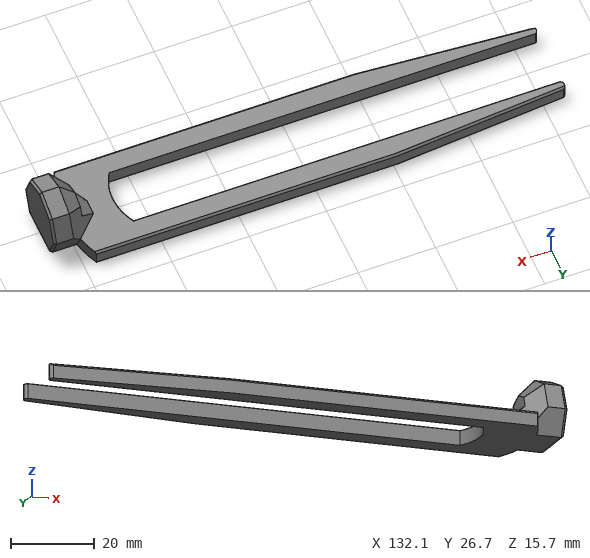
import cadquery as cq
import math

length = 132.1
width = 26.7
height = 15.7
plate_thickness = 3.7
edge_chamfer = 0.5

slot_half_width = 7.8
slot_corner_x = 111.0
slot_end_x = 113.1
taper_end_x = 45.2
tip_outer_y = 9.9
tip_bulge = 0.7
back_corner_x = 122.9
back_middle_x = 125.9

sides = 8
head_radius = 9.2
head_axis_z = height - head_radius
head_taper_x = 127.1
head_face_x = 123.0
head_face_radius = 5.0
rim_length = 0.7
rim_depth = 0.5

neck_top_z = 7.7
neck_start_x = head_face_x - neck_top_z

half_width = width / 2
tip_middle_y = (slot_half_width + tip_outer_y) / 2


def make_fork():
    """Two-pronged plate with its outer top edges bevelled."""
    outline = (
        cq.Workplane("XY")
        .moveTo(tip_bulge, tip_outer_y)
        .lineTo(taper_end_x, half_width)
        .lineTo(back_corner_x, half_width)
        .threePointArc((back_middle_x, 0), (back_corner_x, -half_width))
        .lineTo(taper_end_x, -half_width)
        .lineTo(tip_bulge, -tip_outer_y)
        .threePointArc((0, -tip_middle_y), (tip_bulge, -slot_half_width))
        .lineTo(slot_corner_x, -slot_half_width)
        .threePointArc((slot_end_x, 0), (slot_corner_x, slot_half_width))
        .lineTo(tip_bulge, slot_half_width)
        .threePointArc((0, tip_middle_y), (tip_bulge, tip_outer_y))
        .close()
    )
    plate = outline.extrude(plate_thickness)
    middle_x = (taper_end_x + back_corner_x) / 2
    taper_middle = ((tip_bulge + taper_end_x) / 2, (tip_outer_y + half_width) / 2)
    outer_edges = cq.Workplane("XY")
    for side in (-1, 1):
        for x, y in (taper_middle, (middle_x, half_width)):
            selector = cq.selectors.NearestToPointSelector((x, side * y, plate_thickness))
            outer_edges = outer_edges.add(plate.edges(selector))
    return plate.newObject(outer_edges.vals()).chamfer(edge_chamfer)


def octagon_corners(radius):
    """Corners of an octagon with one corner pointing straight up."""
    angles = [math.pi / 2 + 2 * math.pi * i / sides for i in range(sides)]
    return [(radius * math.cos(angle), radius * math.sin(angle)) for angle in angles]


def make_head():
    """Octagonal knob: upper facets taper forward, lower part runs into the neck."""
    rim_x = length - rim_length
    head = (
        cq.Workplane("YZ", origin=(neck_start_x, 0, head_axis_z))
        .polyline(octagon_corners(head_radius))
        .close()
        .extrude(rim_x - neck_start_x)
    )
    rim = (
        cq.Workplane("YZ", origin=(rim_x, 0, head_axis_z))
        .polyline(octagon_corners(head_radius))
        .close()
        .workplane(offset=rim_length)
        .polyline(octagon_corners(head_radius - rim_depth))
        .close()
        .loft(ruled=True)
    )
    head = head.union(rim)

    apothem_ratio = math.cos(math.pi / sides)
    slope = (head_radius - head_face_radius) / (head_taper_x - head_face_x)
    reach = 2 * head_radius
    start_offset = head_radius * apothem_ratio
    end_offset = start_offset - reach * slope * apothem_ratio
    facet_cutter = (
        cq.Workplane("XZ")
        .polyline([
            (head_taper_x, start_offset),
            (head_taper_x - reach, end_offset),
            (head_taper_x - reach, reach),
            (head_taper_x, reach),
        ])
        .close()
        .extrude(reach, both=True)
    )
    facet_angle = 360 / sides
    for step in (-1.5, -0.5, 0.5, 1.5):
        cutter = facet_cutter.rotate((0, 0, 0), (1, 0, 0), step * facet_angle)
        head = head.cut(cutter.translate((0, 0, head_axis_z)))

    profile = (
        cq.Workplane("XZ")
        .polyline([
            (neck_start_x, 0),
            (head_face_x, neck_top_z),
            (head_face_x, height),
            (length, height),
            (length, rim_depth),
            (rim_x, 0),
        ])
        .close()
        .extrude(head_radius, both=True)
    )
    return head.intersect(profile)


result = make_fork().union(make_head())